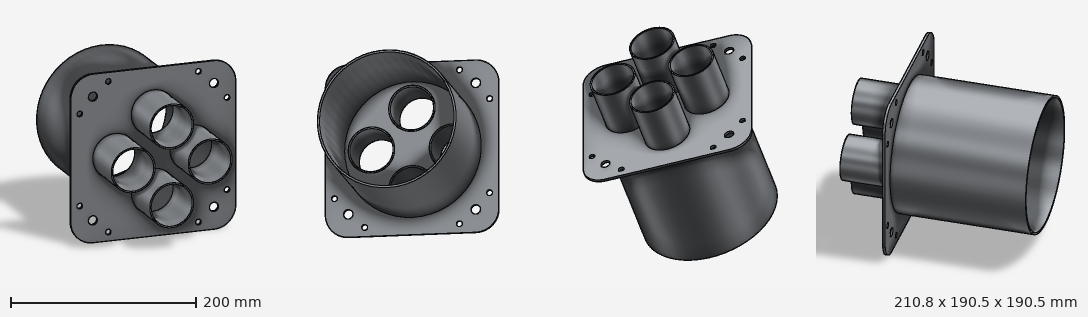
import cadquery as cq

total_length = 210.8
flange_side = 190.5
flange_thickness = 3.0
corner_radius = 25.3

tube_outer_diameter = 152.5
tube_inner_diameter = 147.8
tube_length = 152.5

pipe_outer_diameter = 50.8
pipe_inner_diameter = 47.5
pipe_hole_diameter = 51.2
pipe_offset = 44.5
pipe_length = total_length - tube_length
pipe_centers = [
    (pipe_offset, 0),
    (0, pipe_offset),
    (-pipe_offset, 0),
    (0, -pipe_offset),
]

corner_hole_diameter = 10.3
corner_hole_offset = flange_side / 2 - corner_radius

edge_hole_diameter = 6.3
edge_hole_from_axis = 85.2
edge_hole_half_spacing = 52.0


def yz_plane(x):
    """Workplane facing +X at the given X, with local axes along Y and Z."""
    return cq.Workplane("YZ", origin=(x, 0, 0))


def make_flange():
    """Rounded square plate with pipe holes and mounting holes."""
    plate = (
        yz_plane(tube_length)
        .rect(flange_side, flange_side)
        .extrude(flange_thickness)
        .edges("|X")
        .fillet(corner_radius)
    )

    pipe_holes = yz_plane(tube_length).pushPoints(pipe_centers).circle(pipe_hole_diameter / 2)
    plate = plate.cut(pipe_holes.extrude(flange_thickness))

    corner_holes = (
        yz_plane(tube_length)
        .rect(2 * corner_hole_offset, 2 * corner_hole_offset, forConstruction=True)
        .vertices()
        .circle(corner_hole_diameter / 2)
    )
    plate = plate.cut(corner_holes.extrude(flange_thickness))

    for y, z in [
        (edge_hole_half_spacing, edge_hole_from_axis),
        (edge_hole_from_axis, edge_hole_half_spacing),
    ]:
        edge_holes = (
            yz_plane(tube_length)
            .rect(2 * y, 2 * z, forConstruction=True)
            .vertices()
            .circle(edge_hole_diameter / 2)
        )
        plate = plate.cut(edge_holes.extrude(flange_thickness))
    return plate


def make_housing():
    """Large tube and flange as one body."""
    tube = (
        yz_plane(0)
        .circle(tube_outer_diameter / 2)
        .circle(tube_inner_diameter / 2)
        .extrude(tube_length)
    )
    return tube.union(make_flange())


def make_pipe(y, z):
    """Small pipe starting flush with the flange face inside the tube."""
    return (
        yz_plane(tube_length)
        .center(y, z)
        .circle(pipe_outer_diameter / 2)
        .circle(pipe_inner_diameter / 2)
        .extrude(pipe_length)
    )


housing = make_housing()
pipes = [make_pipe(y, z).val() for y, z in pipe_centers]

result = cq.Compound.makeCompound([housing.val(), *pipes])